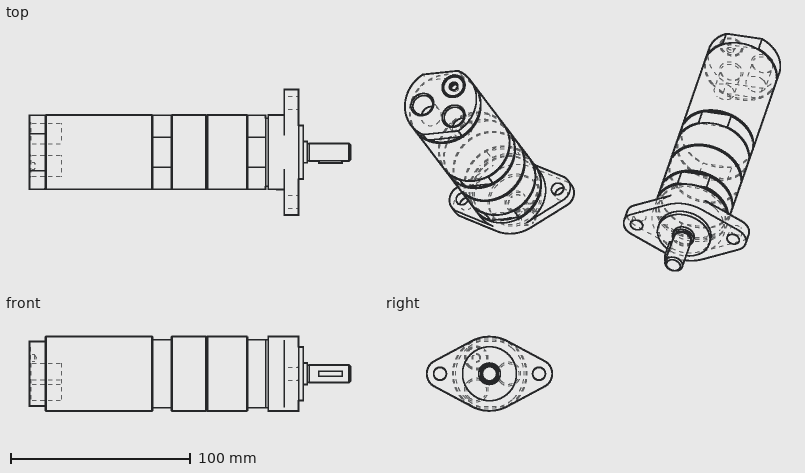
import cadquery as cq
import math

LENGTH = 178.7
BODY_DIA = 41.5
BODY_RADIUS = BODY_DIA / 2

REAR_CAP_END = 8.8
MOTOR_END = 68.6
MIDDLE_CAP_END = 78.8
GEAR_JOINT = 98.6
GEAR_END = 121.3
FRONT_CAP_END = 131.3
FLANGE_BODY_START = 132.8
FLANGE_FACE = 149.8
PILOT_END = 152.5
COLLAR_END = 154.5
SHAFT_START = 155.6

GROOVE_DIA = 38.0
PILOT_DIA = 30.0
COLLAR_DIA = 12.0
NECK_DIA = 9.5
SHAFT_DIA = 10.0

SECTION_CHAMFER = 0.5
SHAFT_CHAMFER = 1.0

REAR_FLATS = 36.1
CAP_FLATS = 38.0

FLANGE_WIDTH = 69.9
FLANGE_THICKNESS = 8.0
EAR_RADIUS = 8.0
MOUNT_HOLE_DIA = 7.0
MOUNT_HOLE_OFFSET = 27.5

OPEN_PORTS = [(10.5, 0), (-7.5, -9.0)]
PLUGGED_PORT = (-7.5, 9.0)
PORT_DIA = 11.5
PORT_DEPTH = 17.9
PORT_CHAMFER = 0.9
SOCKET_DIA = 4.0
SOCKET_DEPTH = 2.7
SOCKET_CHAMFER = 0.45
DRILL_POINT_ANGLE = 118.0

KEY_START = 161.0
KEY_LENGTH = 12.9
KEY_WIDTH = 2.7
KEY_TOP = 6.0


def cylinder(start, end, diameter):
    """Cylinder on the motor axis between two stations."""
    return cq.Workplane("YZ", origin=(start, 0, 0)).circle(diameter / 2).extrude(end - start)


def housing(start, end):
    """Full-diameter housing section with both rims chamfered."""
    return cylinder(start, end, BODY_DIA).faces("<X or >X").chamfer(SECTION_CHAMFER)


def flatted_cap(start, end, across_flats):
    """Full-diameter disc with one flat on top and one below."""
    length = end - start
    slab = cq.Workplane("XY").box(length, BODY_DIA, across_flats).translate((start + length / 2, 0, 0))
    return cylinder(start, end, BODY_DIA).intersect(slab)


def flange_plate():
    """Two-ear plate: end arcs joined to the body circle by tangent lines."""
    ear_center = FLANGE_WIDTH / 2 - EAR_RADIUS
    tilt = math.asin((BODY_RADIUS - EAR_RADIUS) / ear_center)
    body_y = BODY_RADIUS * math.sin(tilt)
    body_z = BODY_RADIUS * math.cos(tilt)
    ear_y = ear_center + EAR_RADIUS * math.sin(tilt)
    ear_z = EAR_RADIUS * math.cos(tilt)
    plate = (
        cq.Workplane("YZ", origin=(FLANGE_FACE - FLANGE_THICKNESS, 0, 0))
        .moveTo(body_y, body_z)
        .lineTo(ear_y, ear_z)
        .threePointArc((FLANGE_WIDTH / 2, 0), (ear_y, -ear_z))
        .lineTo(body_y, -body_z)
        .threePointArc((0, -BODY_RADIUS), (-body_y, -body_z))
        .lineTo(-ear_y, -ear_z)
        .threePointArc((-FLANGE_WIDTH / 2, 0), (-ear_y, ear_z))
        .lineTo(-body_y, body_z)
        .threePointArc((0, BODY_RADIUS), (body_y, body_z))
        .close()
        .extrude(FLANGE_THICKNESS)
    )
    holes = (
        cq.Workplane("YZ", origin=(FLANGE_FACE - FLANGE_THICKNESS, 0, 0))
        .pushPoints([(-MOUNT_HOLE_OFFSET, 0), (MOUNT_HOLE_OFFSET, 0)])
        .circle(MOUNT_HOLE_DIA / 2)
        .extrude(FLANGE_THICKNESS)
    )
    return plate.cut(holes)


def output_shaft():
    """Shaft with a chamfered tip and a key on the -Y side."""
    shaft = cylinder(SHAFT_START, LENGTH, SHAFT_DIA).faces(">X").chamfer(SHAFT_CHAMFER)
    key = cq.Workplane("XY").box(KEY_LENGTH, KEY_TOP, KEY_WIDTH)
    return shaft.union(key.translate((KEY_START + KEY_LENGTH / 2, -KEY_TOP / 2, 0)))


def turned_cutter(profile, position):
    """Revolve a closed (depth, radius) profile about an X-parallel line at a (Y, Z) position."""
    cutter = cq.Workplane("XY").polyline(profile).close().revolve(360, (0, 0, 0), (1, 0, 0))
    return cutter.translate((0, *position))


def open_port(position):
    """Flat-bottomed port with a chamfered mouth."""
    radius = PORT_DIA / 2
    profile = [
        (0, 0),
        (0, radius + PORT_CHAMFER),
        (PORT_CHAMFER, radius),
        (PORT_DEPTH, radius),
        (PORT_DEPTH, 0),
    ]
    return turned_cutter(profile, position)


def plug_groove(position):
    """V groove around the plug, whose face is flush with the rear face."""
    plug_radius = PORT_DIA / 2
    groove_depth = PORT_CHAMFER / 2
    profile = [
        (0, plug_radius),
        (0, plug_radius + PORT_CHAMFER),
        (groove_depth, plug_radius + PORT_CHAMFER / 2),
    ]
    return turned_cutter(profile, position)


def plug_socket(position):
    """Chamfered socket in the plug, ending in a drill point."""
    radius = SOCKET_DIA / 2
    point_length = radius / math.tan(math.radians(DRILL_POINT_ANGLE / 2))
    profile = [
        (0, 0),
        (0, radius + SOCKET_CHAMFER),
        (SOCKET_CHAMFER, radius),
        (SOCKET_DEPTH, radius),
        (SOCKET_DEPTH + point_length, 0),
    ]
    return turned_cutter(profile, position)


sections = [
    flatted_cap(0, REAR_CAP_END, REAR_FLATS),
    housing(REAR_CAP_END, MOTOR_END),
    flatted_cap(MOTOR_END, MIDDLE_CAP_END, CAP_FLATS),
    housing(MIDDLE_CAP_END, GEAR_JOINT),
    housing(GEAR_JOINT, GEAR_END),
    flatted_cap(GEAR_END, FRONT_CAP_END, CAP_FLATS),
    cylinder(FRONT_CAP_END, FLANGE_BODY_START, GROOVE_DIA),
    cylinder(FLANGE_BODY_START, FLANGE_FACE, BODY_DIA),
    flange_plate(),
    cylinder(FLANGE_FACE, PILOT_END, PILOT_DIA),
    cylinder(PILOT_END, COLLAR_END, COLLAR_DIA),
    cylinder(COLLAR_END, SHAFT_START, NECK_DIA),
    output_shaft(),
]

result = sections[0]
for section in sections[1:]:
    result = result.union(section)

for port_position in OPEN_PORTS:
    result = result.cut(open_port(port_position))
result = result.cut(plug_groove(PLUGGED_PORT))
result = result.cut(plug_socket(PLUGGED_PORT))